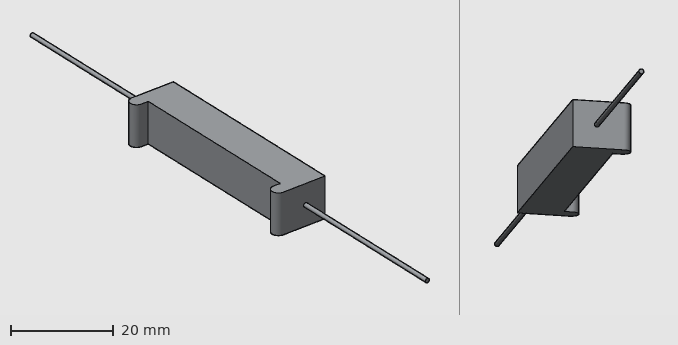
import cadquery as cq

total_length = 123.8
body_length = 47.5
body_height = 9.5
total_depth = 11.9

foot_width = 3.1
foot_projection = 3.2
foot_tip_radius = foot_width / 2

lead_diameter = 1.0
lead_to_back = 4.8

body_depth = total_depth - foot_projection
back_y = lead_to_back
front_y = back_y - body_depth
foot_tip_y = back_y - total_depth


def make_block(length, depth, x_center, y_min):
    """Full-height block, centred on Z = 0."""
    return cq.Workplane("XY").box(length, depth, body_height).translate((x_center, y_min + depth / 2, 0))


def make_foot(side):
    """End foot with a fully rounded tip; it runs back through the body to join it."""
    x_center = side * (body_length - foot_width) / 2
    tip_center_y = foot_tip_y + foot_tip_radius
    shank = make_block(foot_width, total_depth - foot_tip_radius, x_center, tip_center_y)
    tip = (
        cq.Workplane("XY", origin=(0, 0, -body_height / 2))
        .center(x_center, tip_center_y)
        .circle(foot_tip_radius)
        .extrude(body_height)
    )
    return shank.union(tip)


def make_lead():
    """Round wire along X through the whole body."""
    start = cq.Workplane("YZ", origin=(-total_length / 2, 0, 0))
    return start.circle(lead_diameter / 2).extrude(total_length)


result = make_block(body_length, body_depth, 0, front_y)
for side in (-1, 1):
    result = result.union(make_foot(side))
result = result.union(make_lead())